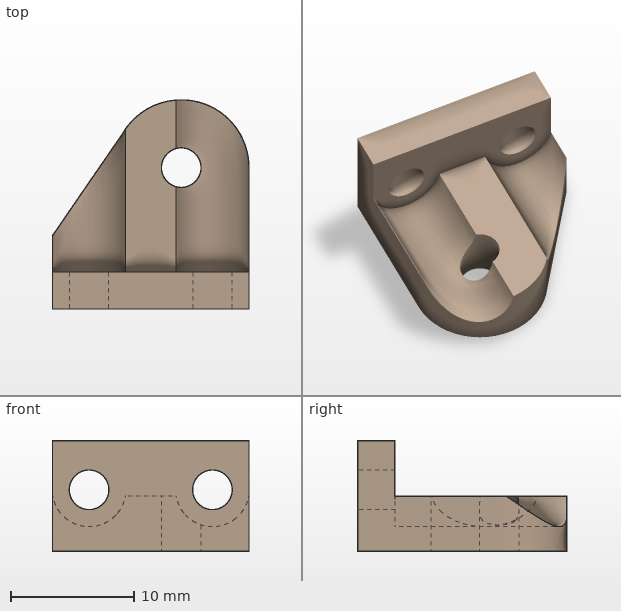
import cadquery as cq
import math

width = 15.96
plate_height = 9.0
plate_thickness = 3.03

tab_height = 4.49
length = 17.0
end_radius = 5.5
side_length = 5.97
slant_end_y = 14.23
pivot_x = width - end_radius
pivot_y = length - end_radius

hole_diameter = 3.2
screw_spacing = 10.01
screw_z = 5.0
groove_radius = 3.0
screw_xs = [width / 2 - screw_spacing / 2, width / 2 + screw_spacing / 2]


def make_tab():
    slant_end_x = pivot_x - math.sqrt(end_radius**2 - (slant_end_y - pivot_y) ** 2)
    arc_middle = (pivot_x, length)
    outline = (
        cq.Workplane("XY")
        .lineTo(width, 0)
        .lineTo(width, pivot_y)
        .threePointArc(arc_middle, (slant_end_x, slant_end_y))
        .lineTo(0, side_length)
        .close()
    )
    return outline.extrude(tab_height)


def cylinder_along_y(x, radius, start_y, end_y):
    axis_start = cq.Vector(x, start_y, screw_z)
    return cq.Solid.makeCylinder(radius, end_y - start_y, axis_start, cq.Vector(0, 1, 0))


plate = cq.Workplane("XY").box(width, plate_thickness, plate_height, centered=False)
pivot_hole = cq.Workplane("XY").center(pivot_x, pivot_y).circle(hole_diameter / 2).extrude(tab_height)

tab = make_tab().cut(pivot_hole)
for screw_x in screw_xs:
    tab = tab.cut(cylinder_along_y(screw_x, groove_radius, plate_thickness, length))

result = plate.union(tab)
for screw_x in screw_xs:
    result = result.cut(cylinder_along_y(screw_x, hole_diameter / 2, 0, plate_thickness))